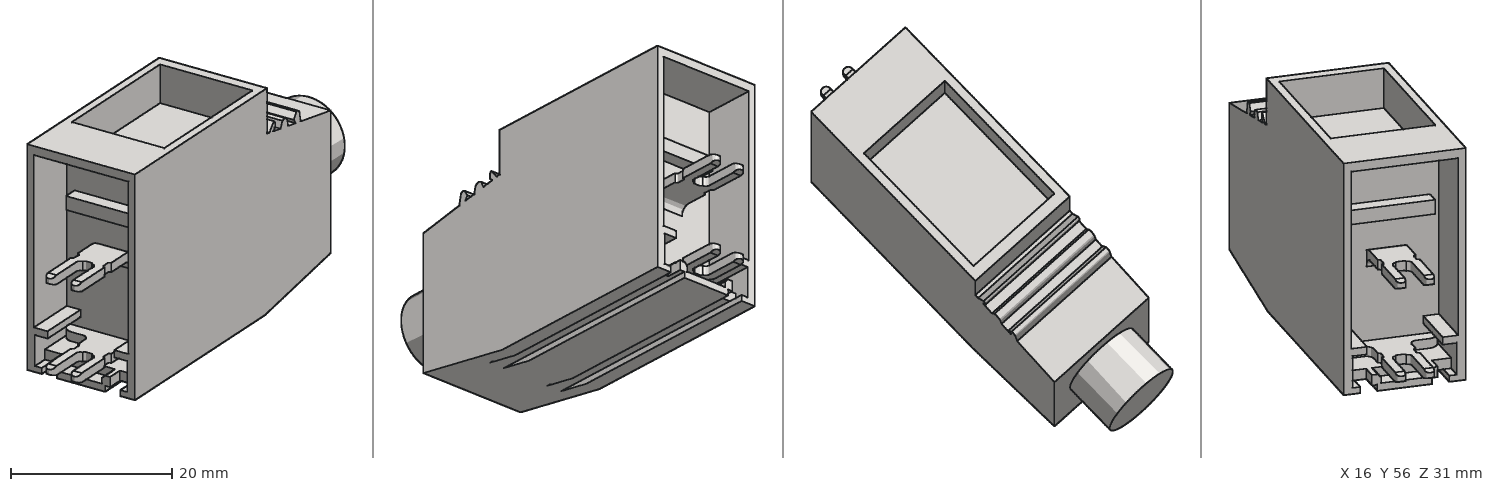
import cadquery as cq
import math


WIDTH = 16.0
HEIGHT = 31.0
LENGTH = 44.3
STEP_Y = 29.9
REAR_TOP_Z = 22.25
REAR_BOTTOM_Z = 2.65
TAPER = math.tan(math.radians(10))

RIB_ROOT = 0.3
REAR_RIB = {
    "rear_foot": 37.5,
    "rear_flank": [(37.25, 24.65)],
    "crown_middle": (36.9, 25.15),
    "crown_end": (36.5, 25.15),
    "front_flank": [(35.95, 24.25)],
    "front_foot": 36.35,
}
MIDDLE_RIB = {
    "rear_foot": 34.65,
    "rear_flank": [(34.5, 24.7)],
    "crown_middle": (33.95, 25.25),
    "crown_end": (33.4, 25.15),
    "front_flank": [],
    "front_foot": 32.9,
}
FRONT_RIB = {
    "rear_foot": 31.3,
    "rear_flank": [(31.7, 24.85), (31.7, 25.5)],
    "crown_middle": (31.6, 25.75),
    "crown_end": (31.4, 25.9),
    "front_flank": [],
    "front_foot": 30.4,
}

CAVITY_DEPTH = 7.45
CAVITY_WIDTH = 14.0
CAVITY_TOP_Z = 29.8
BAR_WIDTH = 11.65
BAR_Z = (20.4, 22.3)
BAR_DEPTH = 1.95
RAIL_Z = (5.1, 6.1)
RAIL_GAP = 9.9
SHELF_WIDTH = 13.65
SHELF_Y = 2.25
SHELF_Z = 2.25

GROOVE_DEPTH = 0.85
GROOVE_X = (3.6, 5.8)
TRAY_WIDTH = 8.6
TROUGH_WIDTH = 6.2
TROUGH_Z = 1.0
TROUGH_FLARE = 0.45

POCKET_WIDTH = 13.7
POCKET_Y = (8.4, 28.35)
POCKET_DEPTH = 5.3

CABLE_DIAMETER = 10.75
CABLE_Z = 13.8
CABLE_LENGTH = 7.2

CONTACT_THICKNESS = 1.3
FORK_WIDTH = 5.0
FORK_SLOT = 2.5
FORK_TIP_Y = -4.5
SLOT_END_Y = 1.45
SLOT_FILLET = 0.55
RELIEF_WIDTH = 1.35
RELIEF_DEPTH = 0.3
RELIEF_FILLET = 0.3
NOTCH_Y = (1.55, 3.0)
NOTCH_DEPTH = 0.35
NOTCH_FILLET = 0.2
TIP_FILLET = 0.55
TIP_BEVEL_LENGTH = 0.85
TIP_BEVEL_DROP = 0.3
UPPER_TOP_Z = 16.25
BEND_Y = 6.15
BEND_INNER_RADIUS = 1.3
LOWER_TOP_Z = 3.75
PLATE_WIDTH = 13.15
PLATE_FRONT_Y = 5.6
PLATE_CORNER_RADIUS = 1.5
PLATE_NECK_RADIUS = 0.95
EDGE_MARGIN = 0.05


def box(x_range, y_range, z_range):
    (x0, x1), (y0, y1), (z0, z1) = x_range, y_range, z_range
    return cq.Workplane("XY").box(x1 - x0, y1 - y0, z1 - z0, centered=False).translate((x0, y0, z0))


def centred_box(width, y_range, z_range):
    return box((-width / 2, width / 2), y_range, z_range)


def side_profile():
    """Workplane whose local axes are the part's Y and Z, half the width out to -X."""
    return cq.Workplane("YZ").workplane(offset=-WIDTH / 2)


def roof_z(y):
    """Height of the sloping roof behind the step."""
    return REAR_TOP_Z + (LENGTH - y) * TAPER



def housing_shell():
    return (
        side_profile()
        .moveTo(0, 0)
        .lineTo(LENGTH - REAR_BOTTOM_Z / TAPER, 0)
        .lineTo(LENGTH, REAR_BOTTOM_Z)
        .lineTo(LENGTH, REAR_TOP_Z)
        .lineTo(STEP_Y, roof_z(STEP_Y))
        .lineTo(STEP_Y, HEIGHT)
        .lineTo(0, HEIGHT)
        .close()
        .extrude(WIDTH)
    )


def grip_rib(rear_foot, rear_flank, crown_middle, crown_end, front_flank, front_foot):
    """Full-width rib on the sloping roof, outlined from its rear foot over a round crown."""
    outline = side_profile().moveTo(rear_foot, roof_z(rear_foot) - RIB_ROOT)
    for y, z in [(rear_foot, roof_z(rear_foot))] + rear_flank:
        outline = outline.lineTo(y, z)
    outline = outline.threePointArc(crown_middle, crown_end)
    for y, z in front_flank + [(front_foot, roof_z(front_foot))]:
        outline = outline.lineTo(y, z)
    return outline.lineTo(front_foot, roof_z(front_foot) - RIB_ROOT).close().extrude(WIDTH)


def front_cavity():
    depth = (0, CAVITY_DEPTH)
    upper = centred_box(CAVITY_WIDTH, depth, (RAIL_Z[1], CAVITY_TOP_Z))
    between_rails = centred_box(RAIL_GAP, depth, RAIL_Z)
    above_shelf = centred_box(SHELF_WIDTH, depth, (SHELF_Z, RAIL_Z[0]))
    before_shelf = centred_box(SHELF_WIDTH, (0, SHELF_Y), (GROOVE_DEPTH, SHELF_Z))
    bar = centred_box(BAR_WIDTH, (CAVITY_DEPTH - BAR_DEPTH, CAVITY_DEPTH), BAR_Z)
    return upper.union(between_rails).union(above_shelf).union(before_shelf).cut(bar)


def tray():
    """Shallow channel joined to the shelf, with a flared trough along its top."""
    half = TROUGH_WIDTH / 2
    block = centred_box(TRAY_WIDTH, (0, SHELF_Y), (GROOVE_DEPTH, SHELF_Z))
    trough = (
        cq.Workplane("XZ")
        .moveTo(-half, TROUGH_Z)
        .lineTo(half, TROUGH_Z)
        .lineTo(half, SHELF_Z - TROUGH_FLARE)
        .lineTo(half + TROUGH_FLARE, SHELF_Z)
        .lineTo(-half - TROUGH_FLARE, SHELF_Z)
        .lineTo(-half, SHELF_Z - TROUGH_FLARE)
        .close()
        .extrude(-SHELF_Y)
    )
    return block.cut(trough)


def make_housing(bent_contact):
    body = housing_shell()
    for rib in (REAR_RIB, MIDDLE_RIB, FRONT_RIB):
        body = body.union(grip_rib(**rib))
    body = body.cut(front_cavity()).union(tray())
    inner, outer = GROOVE_X
    for x_range in ((-outer, -inner), (inner, outer)):
        body = body.cut(box(x_range, (0, LENGTH), (0, GROOVE_DEPTH)))
    body = body.cut(centred_box(POCKET_WIDTH, POCKET_Y, (HEIGHT - POCKET_DEPTH, HEIGHT)))
    return body.cut(bent_contact)



def make_cable():
    return (
        cq.Workplane("XZ", origin=(0, LENGTH, CABLE_Z))
        .circle(CABLE_DIAMETER / 2)
        .extrude(-CABLE_LENGTH)
    )



def fork(top_z, rear_y):
    """Flat two-pronged blade from its tips back to rear_y."""
    z_range = (top_z - CONTACT_THICKNESS, top_z)
    blade = centred_box(FORK_WIDTH, (FORK_TIP_Y, rear_y), z_range)

    slot = centred_box(FORK_SLOT, (FORK_TIP_Y, SLOT_END_Y), z_range)
    slot = slot.edges("|Z and >Y").fillet(SLOT_FILLET)
    relief = centred_box(RELIEF_WIDTH, (0, SLOT_END_Y + RELIEF_DEPTH), z_range)
    relief = relief.edges("|Z and >Y").fillet(RELIEF_FILLET)
    blade = blade.cut(slot).cut(relief)
    blade = blade.edges("|Z and <Y").fillet(TIP_FILLET)

    half = FORK_WIDTH / 2
    left_notch = box((-half - NOTCH_DEPTH, -half + NOTCH_DEPTH), NOTCH_Y, z_range)
    left_notch = left_notch.edges("|Z and >X").fillet(NOTCH_FILLET)
    blade = blade.cut(left_notch).cut(left_notch.mirror("YZ"))

    bevel = (
        cq.Workplane("YZ", origin=(-half, FORK_TIP_Y, top_z))
        .polyline([(0, 0), (TIP_BEVEL_LENGTH, 0), (0, -TIP_BEVEL_DROP)])
        .close()
        .extrude(FORK_WIDTH)
    )
    mid_plane = (0, 0, top_z - CONTACT_THICKNESS / 2)
    return blade.cut(bevel).cut(bevel.mirror("XY", mid_plane))


def make_upper_contact():
    """Fork whose rear end bends down into the wall behind the cavity."""
    outer_radius = BEND_INNER_RADIUS + CONTACT_THICKNESS
    centre_z = UPPER_TOP_Z - outer_radius
    inner_diagonal = BEND_INNER_RADIUS * math.sqrt(0.5)
    outer_diagonal = outer_radius * math.sqrt(0.5)
    bend = (
        cq.Workplane("YZ", origin=(-FORK_WIDTH / 2, BEND_Y, centre_z))
        .moveTo(0, outer_radius)
        .threePointArc((outer_diagonal, outer_diagonal), (outer_radius, 0))
        .lineTo(BEND_INNER_RADIUS, 0)
        .threePointArc((inner_diagonal, inner_diagonal), (0, BEND_INNER_RADIUS))
        .close()
        .extrude(FORK_WIDTH)
    )
    return fork(UPPER_TOP_Z, BEND_Y).union(bend)


def make_lower_contact():
    """Fork with a wide plate across its rear end, standing against the cavity wall."""
    z_range = (LOWER_TOP_Z - CONTACT_THICKNESS, LOWER_TOP_Z)
    plate = centred_box(PLATE_WIDTH, (PLATE_FRONT_Y, CAVITY_DEPTH), z_range)
    plate = plate.edges("|Z and <Y").fillet(PLATE_CORNER_RADIUS)
    contact = fork(LOWER_TOP_Z, CAVITY_DEPTH).union(plate)
    necks = cq.selectors.BoxSelector(
        (-FORK_WIDTH / 2 - EDGE_MARGIN, PLATE_FRONT_Y - EDGE_MARGIN, z_range[0]),
        (FORK_WIDTH / 2 + EDGE_MARGIN, PLATE_FRONT_Y + EDGE_MARGIN, z_range[1]),
    )
    return contact.edges("|Z").edges(necks).fillet(PLATE_NECK_RADIUS)


upper_contact = make_upper_contact()
lower_contact = make_lower_contact()
housing = make_housing(upper_contact)
cable = make_cable()

result = cq.Compound.makeCompound(
    [housing.val(), cable.val(), upper_contact.val(), lower_contact.val()]
)